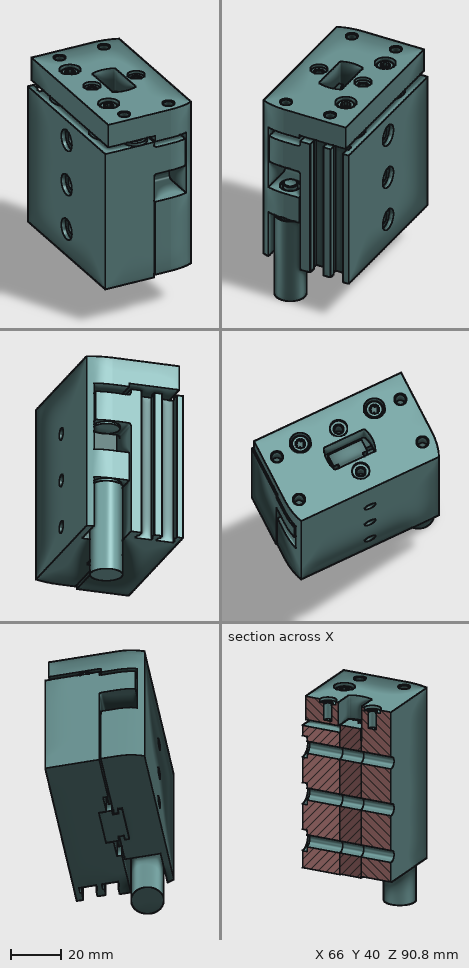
import cadquery as cq
import math


total_height = 90.85
total_depth = 40.0
housing_width = 66.0
housing_half_width = housing_width / 2
housing_bottom = 17.2
housing_top = 78.1
housing_back = 22.0

slide_half_width = 32.7
slide_front = 1.45
slide_bottom = 18.1
yoke_bottom = 80.7
back_plate_front = 22.6

flank_bend_y = 29.7
flank_radius = 27.2

lug_bottom = 63.6
lug_top = 75.7
lug_back = 36.5
lug_length = 13.9
lug_root_radius = 1.3
lug_stop_diameter = 11.0
lug_stop_height = 0.9

pocket_end_x = 17.3
pocket_back = 37.2
pocket_corner_radius = 2.1
left_pocket_top = 79.3
right_pocket_top = housing_top
bracket_bottom = 39.1
bracket_top = 51.0

rail_half_width = 7.45
rail_front = 16.9
rail_back = 26.35
rail_bottom = 17.4
rail_top = 81.3
rail_groove_depth = 2.0
rail_groove_front = 22.2
rail_groove_back = 24.5
carriage_half_width = 13.6
carriage_front = 20.8
carriage_bottom = 22.3
carriage_top = 76.3
recess_half_width = 14.5
recess_floor = 20.0

mount_diameter = 4.9
mount_counterbore_diameter = 9.0
mount_counterbore_depth = 2.0
mount_middle_z = 49.1
hole_pitch = 20.0

front_slot_span = (2.7, 8.5)
back_slot_span = (12.0, 17.4)
slot_neck_depth = 3.3
slot_depth = 6.1
slot_undercut = 0.6
slot_rib_setback = 0.6
slot_lead_in = 0.3

stop_x = 28.0
stop_y = 15.9
stop_base_diameter = 10.0
stop_base_height = 1.4
stop_tip_diameter = 6.6
stop_tip_height = 0.7

window_front = 16.3
window_back = 26.6
window_half_width = 10.1
window_end_half_width = 9.0
window_corner_radius = 0.9

tapped_x = 27.4
tapped_front_y = 11.45
tapped_diameter = 4.2
tapped_mouth_diameter = 5.0
tapped_depth = 7.3
sleeve_diameter = 7.0
sleeve_depth = 1.4
sleeve_tap_diameter = 3.3
sleeve_tap_mouth_diameter = 4.2
sleeve_tap_depth = 7.3

rod_x = 16.4
rod_y = 10.3
rod_diameter = 8.0
rod_bottom = 54.5
rod_recess_diameter = 16.0
rod_recess_depth = 0.9
rod_stem_diameter = 5.0
rod_head_diameter = 7.0
rod_head_bottom = 85.4
rod_head_recess = 1.0
rod_head_bevel = 0.3
rod_seat_diameter = 8.5
star_length = 3.9
star_arm_width = 1.4
star_arm_angles = (30, 90, 150)
star_depth = 1.8

shock_x = -26.3
shock_y = 30.1
shock_diameter = 13.1
shock_body_top = 37.8
shock_neck_diameter = 12.0
shock_stem_diameter = 6.0
shock_top = 52.2
shock_top_bevel = 0.4
shock_relief_diameter = 8.5
shock_relief_depth = 0.9


def block(x_range, y_range, z_range):
    """Box between two limits along each axis."""
    sizes = [high - low for low, high in (x_range, y_range, z_range)]
    corner = (x_range[0], y_range[0], z_range[0])
    return cq.Workplane("XY").box(*sizes, centered=False).translate(corner)


def rod(x, y, bottom, top, diameter):
    """Upright cylinder."""
    base = cq.Workplane("XY", origin=(x, y, bottom))
    return base.circle(diameter / 2).extrude(top - bottom)


def flank_x(half_width, y):
    """Distance of the bent flank from the middle plane."""
    run = max(y - flank_bend_y, 0)
    return half_width - flank_radius + math.sqrt(flank_radius**2 - run**2)


def bent_outline(half_width, front, back, bottom, top):
    """Upright block whose two flanks bend inward behind flank_bend_y."""
    middle_y = (flank_bend_y + back) / 2
    end_x = flank_x(half_width, back)
    middle_x = flank_x(half_width, middle_y)
    return (
        cq.Workplane("XY", origin=(0, 0, bottom))
        .moveTo(-half_width, front)
        .lineTo(half_width, front)
        .lineTo(half_width, flank_bend_y)
        .threePointArc((middle_x, middle_y), (end_x, back))
        .lineTo(-end_x, back)
        .threePointArc((-middle_x, middle_y), (-half_width, flank_bend_y))
        .close()
        .extrude(top - bottom)
    )


def rail_profile(bottom, top):
    """Guide rail bar with a ball groove along each side."""
    bar = block((-rail_half_width, rail_half_width), (rail_front, rail_back), (bottom, top))
    groove_x = rail_half_width - rail_groove_depth
    for near, far in ((-rail_half_width, -groove_x), (groove_x, rail_half_width)):
        bar = bar.cut(block((near, far), (rail_groove_front, rail_groove_back), (bottom, top)))
    return bar


def mounting_bores():
    """Row of three bores from front to back."""
    heights = [mount_middle_z + step * hole_pitch for step in (-1, 0, 1)]
    points = [(0, z) for z in heights]
    front = cq.Workplane("XZ").pushPoints(points)
    bores = front.circle(mount_diameter / 2).extrude(-total_depth)
    counterbores = front.circle(mount_counterbore_diameter / 2).extrude(-mount_counterbore_depth)
    return bores, counterbores


def lugs():
    """Left and right lugs behind the housing, with rounded roots."""
    r = lug_root_radius
    root_y = housing_back
    inner_y = recess_floor
    mid = r * (1 - math.sqrt(0.5))
    profile = (
        cq.Workplane("YZ", origin=(-housing_half_width, 0, 0))
        .moveTo(inner_y, lug_bottom - r)
        .lineTo(root_y, lug_bottom - r)
        .threePointArc((root_y + mid, lug_bottom - mid), (root_y + r, lug_bottom))
        .lineTo(lug_back, lug_bottom)
        .lineTo(lug_back, lug_top)
        .lineTo(root_y + r, lug_top)
        .threePointArc((root_y + mid, lug_top + mid), (root_y, lug_top + r))
        .lineTo(inner_y, lug_top + r)
        .close()
    )
    left = profile.extrude(lug_length)
    pair = left.union(left.mirror("YZ"))
    outline = bent_outline(housing_half_width, inner_y, lug_back, housing_bottom, housing_top)
    return pair.intersect(outline)


def sensor_slot(front, back, front_x, back_x):
    """Slot on the left flank between two wall faces, widening behind its neck."""
    flank = -housing_half_width
    outside_x = flank - slot_lead_in
    neck_x = flank + slot_neck_depth
    wide_x = neck_x + slot_undercut
    floor_x = flank + slot_depth
    points = [
        (outside_x, front - slot_lead_in),
        (front_x, front - slot_lead_in),
        (front_x + slot_lead_in, front),
        (neck_x, front),
        (wide_x, front - slot_undercut),
        (floor_x, front - slot_undercut),
        (floor_x, back + slot_undercut),
        (wide_x, back + slot_undercut),
        (neck_x, back),
        (back_x + slot_lead_in, back),
        (back_x, back + slot_lead_in),
        (outside_x, back + slot_lead_in),
    ]
    base = cq.Workplane("XY", origin=(0, 0, housing_bottom))
    return base.polyline(points).close().extrude(housing_top - housing_bottom)


def make_housing():
    body = block(
        (-housing_half_width, housing_half_width), (0, housing_back), (housing_bottom, housing_top)
    )
    body = body.union(lugs())
    body = body.union(
        rod(shock_x, shock_y, lug_bottom - lug_stop_height, lug_bottom, lug_stop_diameter)
    )

    height = (housing_bottom, housing_top)
    body = body.cut(
        block((-recess_half_width, recess_half_width), (recess_floor, housing_back), height)
    )
    body = body.cut(
        block((-rail_half_width, rail_half_width), (rail_front, housing_back), height)
    )

    flank = -housing_half_width
    rib_x = flank + slot_rib_setback
    body = body.cut(sensor_slot(*front_slot_span, flank, rib_x))
    body = body.cut(sensor_slot(*back_slot_span, rib_x, flank))
    body = body.cut(block((flank, rib_x), (front_slot_span[1], back_slot_span[0]), height))

    for bore in mounting_bores():
        body = body.cut(bore)
    for x in (-rod_x, rod_x):
        body = body.cut(rod(x, rod_y, rod_bottom, housing_top, rod_diameter))
        recess_bottom = housing_top - rod_recess_depth
        body = body.cut(rod(x, rod_y, recess_bottom, housing_top, rod_recess_diameter))

    base_top = housing_top + stop_base_height
    body = body.union(rod(stop_x, stop_y, housing_top, base_top, stop_base_diameter))
    return body.union(
        rod(stop_x, stop_y, base_top, base_top + stop_tip_height, stop_tip_diameter)
    )


def window():
    """Window through the yoke with bowed ends, continued down to the carriage."""
    middle_y = (window_front + window_back) / 2
    end_x = window_end_half_width
    return (
        cq.Workplane("XY", origin=(0, 0, carriage_top))
        .moveTo(-end_x, window_front)
        .lineTo(end_x, window_front)
        .threePointArc((window_half_width, middle_y), (end_x, window_back))
        .lineTo(-end_x, window_back)
        .threePointArc((-window_half_width, middle_y), (-end_x, window_front))
        .close()
        .extrude(total_height - carriage_top)
        .edges("|Z")
        .fillet(window_corner_radius)
    )


def side_pocket(bottom, top, rounded_edges):
    """Pocket on the left side of the back plate, rounded at its closed end."""
    room = block(
        (-housing_half_width, -pocket_end_x), (back_plate_front, pocket_back), (bottom, top)
    )
    return room.edges(rounded_edges).fillet(pocket_corner_radius)


def tapped_hole(x, y, mouth_z, depth, diameter, mouth_diameter):
    """Blind hole with a 45 degree mouth, turned about its own axis."""
    bevel = (mouth_diameter - diameter) / 2
    half_profile = [
        (0, mouth_z - depth),
        (diameter / 2, mouth_z - depth),
        (diameter / 2, mouth_z - bevel),
        (mouth_diameter / 2, mouth_z),
        (0, mouth_z),
    ]
    turned = cq.Workplane("XZ").polyline(half_profile).close().revolve(360, (0, 0), (0, 1))
    return turned.translate((x, y, 0))


def make_slide():
    yoke = bent_outline(slide_half_width, slide_front, total_depth, yoke_bottom, total_height)
    back_plate = bent_outline(
        slide_half_width, back_plate_front, total_depth, slide_bottom, total_height
    )
    carriage = block(
        (-carriage_half_width, carriage_half_width),
        (carriage_front, back_plate_front),
        (carriage_bottom, carriage_top),
    )
    body = yoke.union(back_plate).union(carriage)
    body = body.cut(rail_profile(slide_bottom, yoke_bottom))
    body = body.cut(window())

    body = body.cut(side_pocket(bracket_top, left_pocket_top, "|Y and >X"))
    body = body.cut(side_pocket(bracket_top, right_pocket_top, "|Y and >X").mirror("YZ"))
    body = body.cut(side_pocket(slide_bottom, bracket_bottom, "|Y and >X and >Z"))

    relief_bottom = bracket_top - shock_relief_depth
    body = body.cut(rod(shock_x, shock_y, bracket_bottom, bracket_top, shock_stem_diameter))
    body = body.cut(rod(shock_x, shock_y, relief_bottom, bracket_top, shock_relief_diameter))

    body = body.cut(mounting_bores()[0])

    for y in (tapped_front_y, tapped_front_y + hole_pitch):
        for x in (-tapped_x, tapped_x):
            body = body.cut(
                tapped_hole(x, y, total_height, tapped_depth, tapped_diameter, tapped_mouth_diameter)
            )
        sleeve_floor = total_height - sleeve_depth
        body = body.cut(rod(0, y, sleeve_floor, total_height, sleeve_diameter))
        body = body.cut(
            tapped_hole(
                0, y, sleeve_floor, sleeve_tap_depth, sleeve_tap_diameter, sleeve_tap_mouth_diameter
            )
        )

    for x in (-rod_x, rod_x):
        body = body.cut(rod(x, rod_y, yoke_bottom, total_height, rod_stem_diameter))
        body = body.cut(rod(x, rod_y, rod_head_bottom, total_height, rod_seat_diameter))
    return body


def make_rail():
    return rail_profile(rail_bottom, rail_top).cut(mounting_bores()[0])


def make_piston_rod(x):
    """Rod with a stem through the yoke and a head with a six-pointed socket."""
    head_top = total_height - rod_head_recess
    head = rod(x, rod_y, rod_head_bottom, head_top, rod_head_diameter)
    body = rod(x, rod_y, rod_bottom, yoke_bottom, rod_diameter)
    body = body.union(rod(x, rod_y, yoke_bottom, rod_head_bottom, rod_stem_diameter))
    body = body.union(head.faces(">Z").chamfer(rod_head_bevel))

    socket_floor = head_top - star_depth
    base = cq.Workplane("XY", origin=(x, rod_y, socket_floor))
    for angle in star_arm_angles:
        arm = base.transformed(rotate=(0, 0, angle)).rect(star_length, star_arm_width)
        body = body.cut(arm.extrude(star_depth))
    return body


def make_shock_absorber():
    body = rod(shock_x, shock_y, 0, shock_body_top, shock_diameter)
    neck = rod(shock_x, shock_y, shock_body_top, bracket_bottom, shock_neck_diameter)
    stem = rod(shock_x, shock_y, bracket_bottom, shock_top, shock_stem_diameter)
    return body.union(neck).union(stem.faces(">Z").chamfer(shock_top_bevel))


housing = make_housing()
slide = make_slide()
rail = make_rail()
shock_absorber = make_shock_absorber()
piston_rods = [make_piston_rod(x).val() for x in (-rod_x, rod_x)]

result = cq.Compound.makeCompound(
    [housing.val(), slide.val(), rail.val(), shock_absorber.val(), *piston_rods]
)